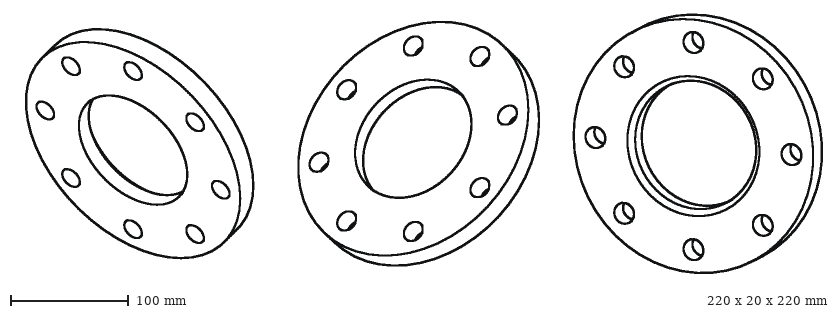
import cadquery as cq

outer_diameter = 220.0
thickness = 20.0
bore_diameter = 111.0
bore_chamfer = 5.0
bolt_circle_diameter = 180.0
bolt_hole_diameter = 18.0
bolt_count = 8

ring = (
    cq.Workplane("XZ")
    .circle(outer_diameter / 2)
    .circle(bore_diameter / 2)
    .extrude(thickness)
)

ring = ring.faces(">Y").edges(cq.selectors.RadiusNthSelector(0)).chamfer(bore_chamfer)

bolt_holes = (
    cq.Workplane("XZ")
    .polarArray(bolt_circle_diameter / 2, 0, 360, bolt_count)
    .circle(bolt_hole_diameter / 2)
    .extrude(thickness)
)

result = ring.cut(bolt_holes)